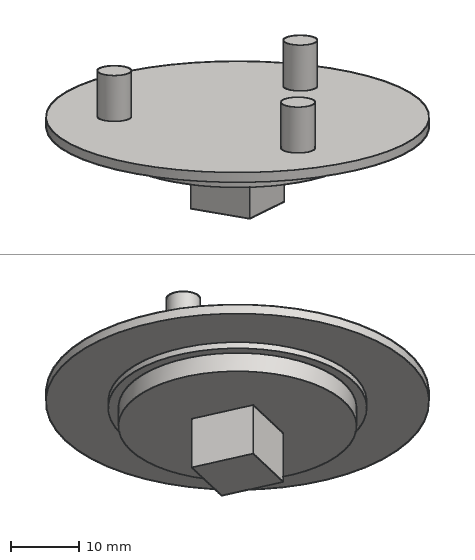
import cadquery as cq

plate_diameter = 56.0
plate_thickness = 1.5

step_diameter = 37.8
step_height = 1.0
hub_diameter = 34.8
hub_height = 3.0

stub_width = 10.0
stub_length = 8.0

pin_count = 3
pin_diameter = 5.0
pin_height = 7.0
pin_circle_radius = 18.0
first_pin_angle = 90.0

step_bottom = -step_height
hub_bottom = step_bottom - hub_height
stub_bottom = hub_bottom - stub_length


def disc(diameter, bottom, height):
    """Solid cylinder on the Z axis, rising from the given level."""
    return cq.Workplane("XY").workplane(offset=bottom).circle(diameter / 2).extrude(height)


def drive_stub():
    """Square stub centred on the Z axis, reaching up to the hub."""
    return cq.Workplane("XY").workplane(offset=stub_bottom).rect(stub_width, stub_width).extrude(stub_length)


def pins():
    """Ring of round pins standing on the upper face of the plate."""
    return (
        cq.Workplane("XY")
        .workplane(offset=plate_thickness)
        .polarArray(pin_circle_radius, first_pin_angle, 360, pin_count)
        .circle(pin_diameter / 2)
        .extrude(pin_height)
    )


plate = disc(plate_diameter, 0, plate_thickness)
step = disc(step_diameter, step_bottom, step_height)
hub = disc(hub_diameter, hub_bottom, hub_height)

result = plate.union(step).union(hub).union(drive_stub()).union(pins())